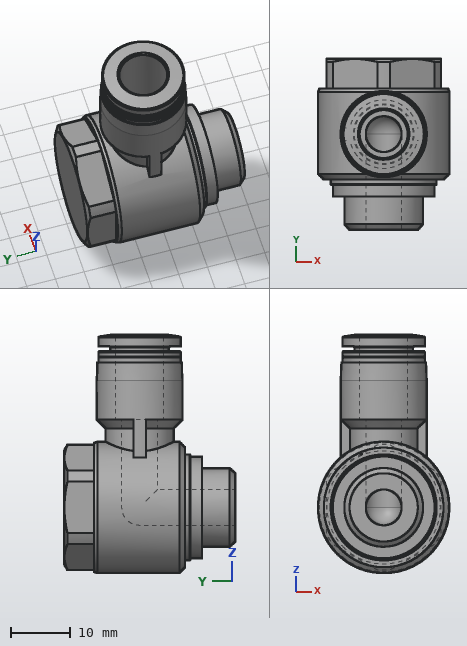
import cadquery as cq


barrel_d = 22.0
barrel_back = 7.62
barrel_front = -7.62
barrel_front_chamfer = 1.0
barrel_back_chamfer_length = 0.6
barrel_back_chamfer_depth = 0.25
collar_d = 17.7
collar_front = -8.5
collar_chamfer = 0.15
washer_d = 17.0
washer_front = -10.45
spigot_d = 13.15
overall_length = 28.6
spigot_chamfer_length = 0.95
spigot_chamfer_depth = 0.88

hex_across_flats = 19.15
hex_corner_d = 21.0
head_length = 5.0
head_chamfer_length = 0.55
head_back = barrel_back + head_length
head_face_d = hex_across_flats - 0.25
spigot_front = head_back - overall_length

overall_height = 39.9
socket_top = overall_height - barrel_d / 2
neck_d = 11.45
neck_top = 13.2
socket_d = 14.4
socket_bottom = neck_top + (socket_d - neck_d) / 2
taper_bottom = 21.2
taper_top_d = 14.15
taper_top = 24.18
ring_d = 13.8
ring_top = 26.1
ring_chamfer = 0.2
ring_groove_bottom = 25.0
ring_groove_width = 0.2
ring_groove_depth = 0.1

button_stem_d = 9.8
button_bottom = 26.9
button_crown_height = 0.35
button_edge_chamfer = 0.2
button_stem_chamfer = 0.15

rib_thickness = 2.07

passage_d = 6.0
tube_bore_d = 8.0
tube_bore_bottom = socket_bottom
tube_bore_chamfer = 0.28


def revolve_about_y(profile):
    """Revolve (radius, y) points, closed along the Y axis."""
    points = [(0, profile[0][1])] + profile + [(0, profile[-1][1])]
    return cq.Workplane("XY").polyline(points).close().revolve(360, (0, 0), (0, 1))


def revolve_about_z(profile):
    """Revolve (radius, z) points, closed along the Z axis."""
    points = [(0, profile[0][1])] + profile + [(0, profile[-1][1])]
    return cq.Workplane("XZ").polyline(points).close().revolve(360, (0, 0), (0, 1))


def cylinder_along_y(diameter, start, end):
    radius = diameter / 2
    return revolve_about_y([(radius, start), (radius, end)])


def make_barrel():
    barrel_r = barrel_d / 2
    collar_r = collar_d / 2
    washer_r = washer_d / 2
    spigot_r = spigot_d / 2
    return revolve_about_y([
        (spigot_r - spigot_chamfer_depth, spigot_front),
        (spigot_r, spigot_front + spigot_chamfer_length),
        (spigot_r, washer_front),
        (washer_r, washer_front),
        (washer_r, collar_front),
        (collar_r - collar_chamfer, collar_front),
        (collar_r, collar_front + collar_chamfer),
        (collar_r, barrel_front),
        (barrel_r - barrel_front_chamfer, barrel_front),
        (barrel_r, barrel_front + barrel_front_chamfer),
        (barrel_r, barrel_back - barrel_back_chamfer_length),
        (barrel_r - barrel_back_chamfer_depth, barrel_back),
    ])


def make_head():
    """Hexagon with corners pointing up and down, turned to a cylinder and a chamfer cone."""
    hexagon = (
        cq.Workplane("XZ", origin=(0, head_back, 0))
        .polygon(6, hex_across_flats, circumscribed=True)
        .extrude(head_length)
    )
    turned_envelope = revolve_about_y([
        (hex_corner_d / 2, barrel_back),
        (hex_corner_d / 2, head_back - head_chamfer_length),
        (head_face_d / 2, head_back),
    ])
    return hexagon.intersect(turned_envelope)


def make_socket():
    """Neck, socket, ring and button; the button crown is a cone falling from the bore rim."""
    ring_r = ring_d / 2
    groove_r = ring_r - ring_groove_depth
    stem_r = button_stem_d / 2
    ring_groove_top = ring_groove_bottom + ring_groove_width
    button_edge = socket_top - button_crown_height
    return revolve_about_z([
        (neck_d / 2, 0),
        (neck_d / 2, neck_top),
        (socket_d / 2, socket_bottom),
        (socket_d / 2, taper_bottom),
        (taper_top_d / 2, taper_top),
        (ring_r, taper_top),
        (ring_r, ring_groove_bottom),
        (groove_r, ring_groove_bottom),
        (groove_r, ring_groove_top),
        (ring_r, ring_groove_top),
        (ring_r, ring_top - ring_chamfer),
        (ring_r - ring_chamfer, ring_top),
        (stem_r, ring_top),
        (stem_r, button_bottom - button_stem_chamfer),
        (stem_r + button_stem_chamfer, button_bottom),
        (ring_r, button_bottom),
        (ring_r, button_edge - button_edge_chamfer),
        (ring_r - button_edge_chamfer, button_edge),
        (tube_bore_d / 2 + tube_bore_chamfer, socket_top),
    ])


def make_ribs():
    """One plate through the neck forms both ribs, their outer faces flush with the socket."""
    plate = cq.Workplane("XY").rect(socket_d, rib_thickness).extrude(socket_bottom)
    socket_envelope = cq.Workplane("XY").circle(socket_d / 2).extrude(socket_bottom)
    return plate.intersect(socket_envelope)


def make_passage():
    """Tube bore and elbow: two equal bores joined by a ball at the crossing."""
    passage_r = passage_d / 2
    bore_r = tube_bore_d / 2
    vertical = revolve_about_z([
        (passage_r, 0),
        (passage_r, tube_bore_bottom),
        (bore_r, tube_bore_bottom),
        (bore_r, socket_top - tube_bore_chamfer),
        (bore_r + tube_bore_chamfer, socket_top),
    ])
    horizontal = cylinder_along_y(passage_d, spigot_front, 0)
    ball = cq.Workplane("XY").sphere(passage_r)
    return vertical.union(horizontal).union(ball)


body = make_barrel().union(make_head()).union(make_socket()).union(make_ribs())
result = body.cut(make_passage())